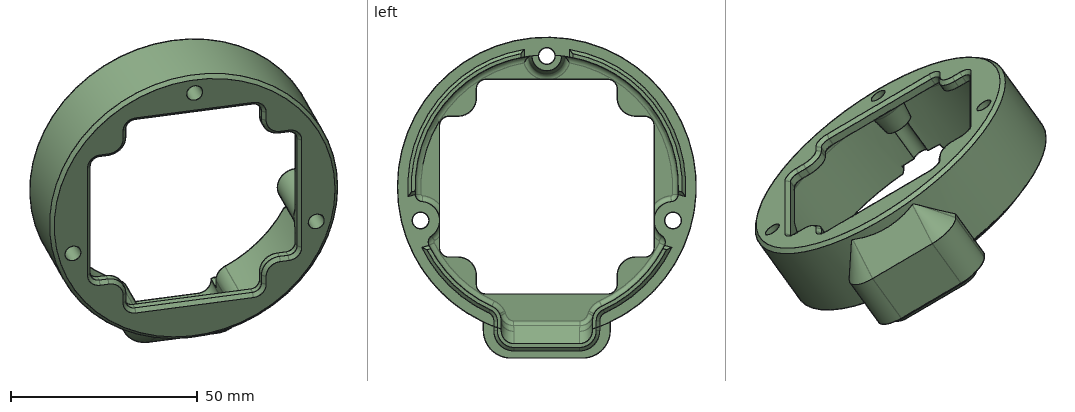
import cadquery as cq
import math


overall_height = 85.95
outer_radius = 80.0 / 2
wall_radius = 35.2
ring_depth = 21.1
back_chamfer = 1.0
floor_thickness = 3.0
floor_fillet = 1.55
floor_x = ring_depth - floor_thickness

opening_half = 28.7
lug_half = 18.8
lug_radius = 5.0
opening_corner_radius = 2.5

hole_diameter = 4.4
hole_circle_radius = 35.0
boss_radius = 5.1
boss_blend = 2.0
side_boss_drop = 15.0
top_boss_tip_radius = 3.95
top_boss_height = 7.0

spout_bottom = overall_height - outer_radius
spout_half_width = 17.0
spout_corner = 7.5
spout_straight_end = 9.1
spout_taper = 36.0
channel_bottom = 42.0
channel_half_width = 12.2
channel_corner = 7.0 / 2
channel_straight_end = 10.75
neck_radius = 4.3
collar_height = 5.0
tongue_height = 7.0

lip_thickness = 2.0
lip_height = 1.9
lip_chamfer = 0.95
top_gap_half = 6.0
side_gap_half = 7.05

top_angle = 90.0
side_angles = (-side_boss_drop, 180.0 + side_boss_drop)
hole_angles = (top_angle,) + side_angles

past = 4.3


def plane_at(x):
    """Sketch plane across the ring axis: local axes are Y and Z, the normal is +X."""
    return cq.Workplane("YZ", origin=(x, 0, 0))


def disc(radius, x_start, x_end):
    return plane_at(x_start).circle(radius).extrude(x_end - x_start)


def on_hole_circle(angle):
    turn = math.radians(angle)
    return hole_circle_radius * math.cos(turn), hole_circle_radius * math.sin(turn)


def spout_block(x_start, x_end, taper=0.0):
    """Block from the ring axis down to the spout bottom, with its two lower corners rounded."""
    side_z = spout_corner - spout_bottom
    flat_y = spout_half_width - spout_corner
    bulge = spout_corner * (1 - math.sqrt(0.5))
    corner_y = spout_half_width - bulge
    corner_z = bulge - spout_bottom
    return (
        plane_at(x_start)
        .moveTo(spout_half_width, 0)
        .lineTo(spout_half_width, side_z)
        .threePointArc((corner_y, corner_z), (flat_y, -spout_bottom))
        .lineTo(-flat_y, -spout_bottom)
        .threePointArc((-corner_y, corner_z), (-spout_half_width, side_z))
        .lineTo(-spout_half_width, 0)
        .close()
        .extrude(x_end - x_start, taper=taper)
    )


def channel_prism(x_start, x_end):
    """Straight channel with square bottom corners; two neck arcs lead it tangent off the wall circle."""
    neck_y = channel_half_width + neck_radius
    neck_z = -math.sqrt((wall_radius + neck_radius) ** 2 - neck_y**2)
    on_wall = wall_radius / (wall_radius + neck_radius)
    wall_y = neck_y * on_wall
    wall_z = neck_z * on_wall
    turn = (math.atan2(-neck_z, -neck_y) + math.pi) / 2
    mid_y = neck_y + neck_radius * math.cos(turn)
    mid_z = neck_z + neck_radius * math.sin(turn)
    return (
        plane_at(x_start)
        .moveTo(wall_y, wall_z)
        .threePointArc((mid_y, mid_z), (channel_half_width, neck_z))
        .lineTo(channel_half_width, -channel_bottom)
        .lineTo(-channel_half_width, -channel_bottom)
        .lineTo(-channel_half_width, neck_z)
        .threePointArc((-mid_y, mid_z), (-wall_y, wall_z))
        .close()
        .extrude(x_end - x_start)
    )


def cavity_block(height, grow=0.0):
    """Cavity outline, from x = -height to the mating face, with its walls moved out by grow."""
    channel = channel_prism(-height, 0).edges("|X").edges("<Z").fillet(channel_corner)
    block = disc(wall_radius, -height, 0).union(channel)
    if grow:
        block = block.faces("<X").wires().toPending().offset2D(grow).extrude(height, combine=False)
    return block


def spout_blank():
    """Straight spout with a collar ahead of the mating face, tapering back into the ring."""
    straight = spout_block(0, spout_straight_end)
    tail = spout_block(spout_straight_end, ring_depth - back_chamfer, spout_taper)
    collar = spout_block(-collar_height, 0)
    collar = collar.cut(disc(outer_radius, -collar_height, 0))
    return straight.union(tail).union(collar)


def raised_edge(height):
    """Block standing ahead of the mating face, wider than the cavity and bevelled on its outer edge."""
    return cavity_block(height, lip_thickness).faces("<X").edges().chamfer(lip_chamfer)


def lip_gap(angle, half_width):
    """Radial notch around a screw hole; its walls flare so the lip ends are chamfered."""
    flare = half_width + lip_chamfer
    slope_x = lip_chamfer - lip_height
    outline = [
        (past, -half_width),
        (slope_x, -half_width),
        (-lip_height, -flare),
        (-lip_height - past, -flare),
        (-lip_height - past, flare),
        (-lip_height, flare),
        (slope_x, half_width),
        (past, half_width),
    ]
    notch = cq.Workplane("XY").polyline(outline).close().extrude(outer_radius)
    return notch.rotate((0, 0, 0), (1, 0, 0), angle - top_angle)


def lip():
    """Lip along the ring, interrupted at the screw holes, and the taller tongue inside the collar."""
    band = raised_edge(lip_height)
    band = band.cut(lip_gap(top_angle, top_gap_half))
    for angle in side_angles:
        band = band.cut(lip_gap(angle, side_gap_half))
    tongue = raised_edge(tongue_height).cut(disc(outer_radius, -tongue_height, 0))
    return band.union(tongue).cut(cavity_block(tongue_height))


def side_bosses():
    """Two bosses running from the floor plate up to the mating face."""
    centers = [on_hole_circle(angle) for angle in side_angles]
    return plane_at(0).pushPoints(centers).circle(boss_radius).extrude(floor_x)


def top_boss():
    """Short tapered boss on the floor plate, set well back from the mating face."""
    return (
        plane_at(floor_x - top_boss_height)
        .center(*on_hole_circle(top_angle))
        .circle(top_boss_tip_radius)
        .workplane(offset=top_boss_height)
        .circle(boss_radius)
        .loft()
    )


def spout_channel():
    """Channel through collar and spout whose bottom ramps up towards the floor."""
    ramp_length = floor_x - channel_straight_end
    ramp_top = ramp_length * math.tan(math.radians(spout_taper)) - channel_bottom
    ramp = (
        cq.Workplane("XZ")
        .moveTo(channel_straight_end, -channel_bottom)
        .lineTo(floor_x, ramp_top)
        .lineTo(floor_x, -channel_bottom)
        .close()
        .extrude(channel_half_width, both=True)
    )
    channel = channel_prism(-tongue_height, floor_x).cut(ramp)
    below_necks = cq.selectors.BoxSelector(
        (-past, -outer_radius, -spout_bottom), (floor_x, outer_radius, ramp_top)
    )
    bottom_corners = channel.edges(below_necks).edges("not |Y").edges("not |Z")
    return bottom_corners.fillet(channel_corner)


def cavity():
    """Ring cavity with the spout channel; the bosses stand in it and its floor edge is rounded."""
    ring = disc(wall_radius, 0, floor_x).cut(side_bosses())
    ring = ring.edges("|X").edges("<Z or >Z").fillet(boss_blend)
    hollow = ring.cut(top_boss()).union(spout_channel())
    return hollow.faces(">X").edges().fillet(floor_fillet)


def floor_opening():
    """Cross-shaped opening; its inner corners round the lugs left on the plate."""
    depth = floor_thickness + 2 * past
    wide = plane_at(floor_x - past).rect(2 * opening_half, 2 * lug_half).extrude(depth)
    tall = plane_at(floor_x - past).rect(2 * lug_half, 2 * opening_half).extrude(depth)
    middle = (opening_half + lug_half) / 2
    core = cq.selectors.BoxSelector((0, -middle, -middle), (2 * ring_depth, middle, middle))
    opening = wide.union(tall).edges("|X").edges(core).fillet(lug_radius)
    outer_corners = opening.edges("|X").edges("<Y or >Y or <Z or >Z")
    return outer_corners.fillet(opening_corner_radius)


def screw_holes():
    centers = [on_hole_circle(angle) for angle in hole_angles]
    return plane_at(-past).pushPoints(centers).circle(hole_diameter / 2).extrude(ring_depth + 2 * past)


ring = disc(outer_radius, 0, ring_depth)
housing = ring.union(spout_blank()).union(lip()).cut(cavity()).cut(floor_opening())
housing = housing.faces(">X").edges().chamfer(back_chamfer)
result = housing.cut(screw_holes())